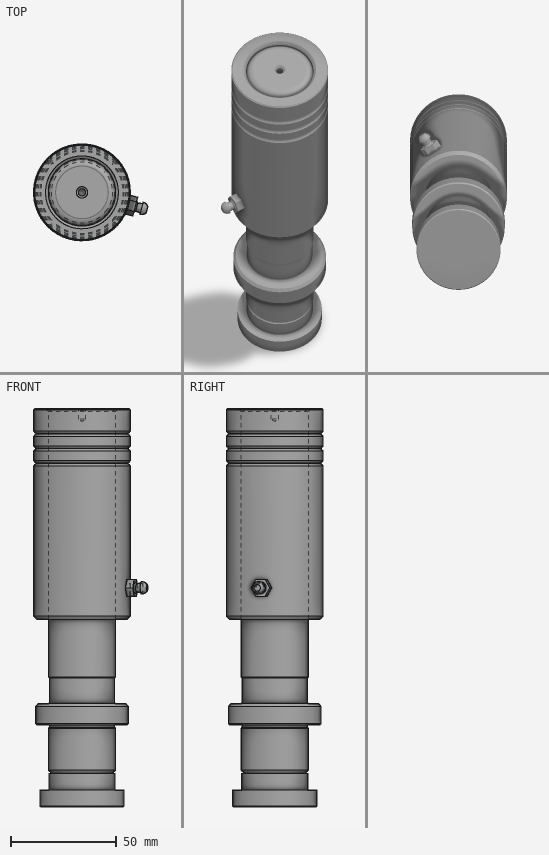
import cadquery as cq
import math


foot_flange_top = 8.0
foot_top = 16.0
collar_bottom = 39.0
collar_top = 49.0
neck_top = 61.8
bush_bottom = 89.0
bush_length = 100.0
bush_top = bush_bottom + bush_length

foot_flange_radius = 20.0
foot_spigot_radius = 15.75
foot_chamfer = 0.5

pillar_radius = 16.0
neck_radius = 15.5
neck_step = pillar_radius - neck_radius
collar_radius = 22.0
collar_top_chamfer = 1.2
collar_bottom_chamfer = 0.6
collar_root_fillet = 0.7
relief_width = 1.2
pillar_bottom_chamfer = 1.5
pillar_top_round = 3.5

centre_mouth_radius = 2.7
centre_bore_radius = 1.7
centre_bore_depth = 5.0
centre_cone_depth = centre_mouth_radius - centre_bore_radius
centre_tip_depth = centre_bore_depth + centre_bore_radius / math.sqrt(3)

bush_radius = 23.0
bush_top_chamfer = 0.6
bush_bottom_chamfer = 1.6
bore_chamfer = 1.3
groove_count = 3
groove_first_depth = 11.9
groove_pitch = 7.0
groove_width = 2.4
groove_depth = 1.1
groove_floor_width = groove_width - 2 * groove_depth

nipple_height = bush_bottom + 15.0
nipple_angle = -15.0
hex_across_flats = 8.0
hex_corner_radius = hex_across_flats / math.sqrt(3)
hex_seat = math.sqrt(bush_radius**2 - hex_corner_radius**2)
hex_end = 26.2
shoulder_radius = 2.8
neck_start = 26.9
neck_start_radius = 2.0
neck_end_radius = 2.4
head_start = 29.3
head_radius = 3.0
head_mid = 30.8
head_mid_radius = 2.65
nipple_tip = 32.0
tip_radius = 1.55


def revolve_about_z(profile):
    """Turn a closed (radius, height) profile through a full circle about Z."""
    return profile.close().revolve(360, (0, 0, 0), (0, 1, 0))


def make_foot():
    profile = (
        cq.Workplane("XZ")
        .lineTo(foot_flange_radius - foot_chamfer, 0)
        .lineTo(foot_flange_radius, foot_chamfer)
        .lineTo(foot_flange_radius, foot_flange_top)
        .lineTo(foot_spigot_radius, foot_flange_top)
        .lineTo(foot_spigot_radius, foot_top)
        .lineTo(0, foot_top)
    )
    return revolve_about_z(profile)


def make_pillar():
    relief_bottom = collar_bottom - relief_width
    round_start = bush_top - pillar_top_round
    profile = (
        cq.Workplane("XZ")
        .moveTo(0, foot_top)
        .lineTo(pillar_radius - pillar_bottom_chamfer, foot_top)
        .lineTo(pillar_radius, foot_top + pillar_bottom_chamfer)
        .lineTo(pillar_radius, relief_bottom - neck_step)
        .lineTo(neck_radius, relief_bottom)
        .lineTo(neck_radius, collar_bottom)
        .lineTo(collar_radius - collar_bottom_chamfer, collar_bottom)
        .lineTo(collar_radius, collar_bottom + collar_bottom_chamfer)
        .lineTo(collar_radius, collar_top - collar_top_chamfer)
        .lineTo(collar_radius - collar_top_chamfer, collar_top)
        .lineTo(neck_radius + collar_root_fillet, collar_top)
        .radiusArc((neck_radius, collar_top + collar_root_fillet), collar_root_fillet)
        .lineTo(neck_radius, neck_top - neck_step)
        .lineTo(pillar_radius, neck_top)
        .lineTo(pillar_radius, round_start)
        .radiusArc((pillar_radius - pillar_top_round, bush_top), -pillar_top_round)
        .lineTo(centre_mouth_radius, bush_top)
        .lineTo(centre_bore_radius, bush_top - centre_cone_depth)
        .lineTo(centre_bore_radius, bush_top - centre_bore_depth)
        .lineTo(0, bush_top - centre_tip_depth)
    )
    return revolve_about_z(profile)


def make_groove(mid_height):
    """Ring with a V-shaped section and a narrow flat floor."""
    floor_radius = bush_radius - groove_depth
    profile = (
        cq.Workplane("XZ")
        .moveTo(bush_radius, mid_height - groove_width / 2)
        .lineTo(floor_radius, mid_height - groove_floor_width / 2)
        .lineTo(floor_radius, mid_height + groove_floor_width / 2)
        .lineTo(bush_radius, mid_height + groove_width / 2)
    )
    return revolve_about_z(profile)


def make_bush(nipple):
    profile = (
        cq.Workplane("XZ")
        .moveTo(pillar_radius, bush_bottom)
        .lineTo(bush_radius - bush_bottom_chamfer, bush_bottom)
        .lineTo(bush_radius, bush_bottom + bush_bottom_chamfer)
        .lineTo(bush_radius, bush_top - bush_top_chamfer)
        .lineTo(bush_radius - bush_top_chamfer, bush_top)
        .lineTo(pillar_radius + bore_chamfer, bush_top)
        .lineTo(pillar_radius, bush_top - bore_chamfer)
    )
    bush = revolve_about_z(profile)
    for index in range(groove_count):
        bush = bush.cut(make_groove(bush_top - groove_first_depth - index * groove_pitch))
    return bush.cut(nipple)


def make_nipple():
    """Nipple built along +X, then swung to its angle and lifted to its height."""
    hexagon = (
        cq.Workplane("YZ", origin=(hex_seat, 0, 0))
        .polygon(6, 2 * hex_corner_radius)
        .extrude(hex_end - hex_seat)
    )
    head = (
        cq.Workplane("XY")
        .moveTo(hex_end, 0)
        .lineTo(hex_end, shoulder_radius)
        .lineTo(neck_start, neck_start_radius)
        .lineTo(head_start, neck_end_radius)
        .lineTo(head_start, head_radius)
        .threePointArc((head_mid, head_mid_radius), (nipple_tip, tip_radius))
        .lineTo(nipple_tip, 0)
        .close()
        .revolve(360, (0, 0, 0), (1, 0, 0))
    )
    return (
        hexagon.union(head)
        .rotate((0, 0, 0), (0, 0, 1), nipple_angle)
        .translate((0, 0, nipple_height))
    )


foot = make_foot()
pillar = make_pillar()
nipple = make_nipple()
bush = make_bush(nipple)

result = cq.Compound.makeCompound([foot.val(), pillar.val(), bush.val(), nipple.val()])